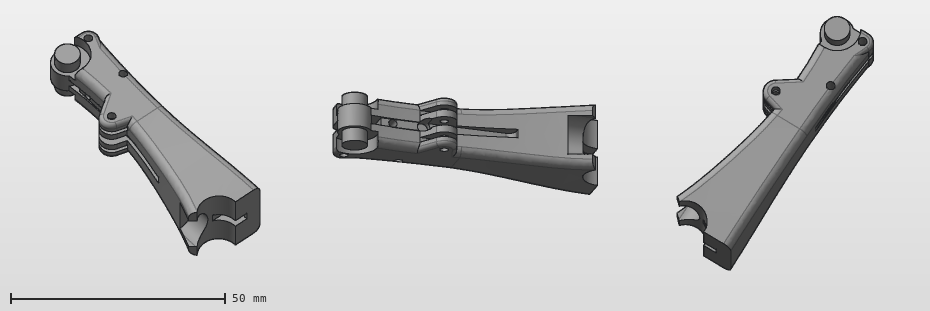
import cadquery as cq
import math


side_reach = 19.2

pin_radius = 3.0
barrel_radius = 4.0
barrel_half_height = 2.8
recess_radius = 5.5

half_height = 6.1
end_half_height = 8.2
body_start = 0.65
underside_points = [(5.45, -2.0), (12.8, -1.6), (24.7, -2.2), (41.0, -5.1)]
underside_start_y = -2.55
underside_end_y = -11.3
topside_points = [(28.8, 7.9), (12.8, 8.25)]
topside_start_y = 9.2
topside_end_y = 8.5
tip = (55.35, -9.3)
taper_start = 25.7
taper_middle = 40.95
taper_middle_half_height = 7.05
overall_length = 64.0
body_end = overall_length - barrel_radius
body_fillet = 2.0
flare_slope = 0.02

lug_center = (-0.45, 6.7)
lug_radius = 2.55
lug_slope_end = (5.75, 7.05)
lug_fillet = 0.9
lobe_center = (20.75, -3.85)
lobe_radius = 3.0
lobe_fillet = 1.1
lobe_root_left = (15.55, -1.65)
lobe_root_right = (24.45, -1.85)
lobe_top = 0.5
lobe_gap_inner = 2.8
lobe_gap_outer = 4.0
cross_hole_center = (12.8, 6.3)

hole_diameter = 2.0
hole_radius = hole_diameter / 2
slot_half_width = 1.055
slot_floor = -1.35
slot_end = 38.65
slot_end_radius = 1.9
clearance_end = 6.0
clearance_slope_start = 4.1
web_root_x = 7.9
web_underside = 5.95
web_start = 2.9
web_corner = 2.0
cord_hole_positions = (4.9, 8.95)
drill_x = 16.5
drill_diameter = 3.0
drill_radius = drill_diameter / 2
drill_floor = 0.3

bore_center = (body_end, -4.0)
bore_radius = 5.05
pocket_start = 50.0
pocket_center_y = -8.05
pocket_radius = 4.85
tongue_slot_start = 55.35
tongue_slot_floor = 4.5


def slab(sketch, low, high):
    """Extrude a closed XY sketch from Z = low to Z = high."""
    return sketch.extrude(high - low).translate((0, 0, low))


def disc(center, radius, half):
    """Upright cylinder, symmetric about mid height."""
    return slab(cq.Workplane("XY").center(*center).circle(radius), -half, half)


def block(x_min, x_max, y_min, y_max, z_min, z_max):
    """Box between two limits on each axis."""
    sketch = cq.Workplane("XY").moveTo(x_min, y_min).lineTo(x_max, y_min)
    sketch = sketch.lineTo(x_max, y_max).lineTo(x_min, y_max).close()
    return slab(sketch, z_min, z_max)


def tangent_point(center, radius, point, side):
    """Touch point on a circle of the line from an outer point (side is +1 or -1)."""
    dx = point[0] - center[0]
    dy = point[1] - center[1]
    angle = math.atan2(dy, dx) + side * math.acos(radius / math.hypot(dx, dy))
    return (center[0] + radius * math.cos(angle), center[1] + radius * math.sin(angle))


def extend_line(start, through, y):
    """Point at height y on the line through two points."""
    ratio = (y - start[1]) / (through[1] - start[1])
    return (start[0] + ratio * (through[0] - start[0]), y)


def make_body():
    """Curved plan outline crossed with a flaring side profile, its long edges rounded."""
    outline = (
        cq.Workplane("XY")
        .moveTo(body_start, underside_start_y)
        .spline(underside_points + [tip, (body_end, underside_end_y)], includeCurrent=True)
        .lineTo(body_end, topside_end_y)
        .spline(topside_points + [(body_start, topside_start_y)], includeCurrent=True)
        .close()
    )
    plan = slab(outline, -side_reach, side_reach)
    profile = (
        cq.Workplane("XZ")
        .moveTo(body_start, -half_height)
        .lineTo(body_start, half_height)
        .lineTo(taper_start, half_height)
        .spline([(taper_middle, taper_middle_half_height), (body_end, end_half_height)],
                tangents=[(1, flare_slope), (1, 0)], includeCurrent=True)
        .lineTo(body_end, -end_half_height)
        .spline([(taper_middle, -taper_middle_half_height), (taper_start, -half_height)],
                tangents=[(-1, 0), (-1, flare_slope)], includeCurrent=True)
        .close()
        .extrude(2 * side_reach)
        .translate((0, side_reach, 0))
    )
    body = plan.intersect(profile)
    return body.faces("<Y or >Y").edges("not |Z").fillet(body_fillet)


def make_lug():
    """Rounded corner that carries the cross hole beside the knuckle."""
    left = lug_center[0] - lug_radius
    diagonal = lug_radius * math.sqrt(0.5)
    outline = (
        cq.Workplane("XY")
        .moveTo(left, 0)
        .lineTo(left, lug_center[1])
        .threePointArc((lug_center[0] - diagonal, lug_center[1] + diagonal),
                       tangent_point(lug_center, lug_radius, lug_slope_end, 1))
        .lineTo(*lug_slope_end)
        .lineTo(lug_slope_end[0], 0)
        .close()
    )
    lug = slab(outline, -half_height, half_height)
    return lug.faces("<Z or >Z").edges("not (<Y or >X)").fillet(lug_fillet)


def make_lobe():
    """Rounded ear below the body, with its straight flanks carried on into the body."""
    left_touch = tangent_point(lobe_center, lobe_radius, lobe_root_left, 1)
    right_touch = tangent_point(lobe_center, lobe_radius, lobe_root_right, -1)
    outline = (
        cq.Workplane("XY")
        .moveTo(*extend_line(left_touch, lobe_root_left, lobe_top))
        .lineTo(*left_touch)
        .threePointArc((lobe_center[0], lobe_center[1] - lobe_radius), right_touch)
        .lineTo(*extend_line(right_touch, lobe_root_right, lobe_top))
        .close()
    )
    lobe = slab(outline, -half_height, half_height)
    return lobe.faces("<Z or >Z").edges("not >Y").fillet(lobe_fillet)


def cut_lobe_gaps(part):
    """Two thin gaps, leaving four plates together with the central slot."""
    lowest = lobe_center[1] - lobe_radius
    gap = block(lobe_root_left[0], lobe_root_right[0], lowest, lobe_root_left[1],
                lobe_gap_inner, lobe_gap_outer)
    return part.cut(gap).cut(gap.mirror("XY"))


def cut_cross_holes(part):
    """Upright through holes in the lug, the body and the lobe."""
    for center in (lug_center, cross_hole_center, lobe_center):
        part = part.cut(disc(center, hole_radius, side_reach))
    return part


def cut_cord_path(part):
    """Central slot with a rounded far end, the cord holes and a blind drilling."""
    slot = (
        cq.Workplane("XY")
        .moveTo(0, -side_reach)
        .lineTo(0, slot_floor)
        .lineTo(slot_end - slot_end_radius, slot_floor)
        .radiusArc((slot_end, slot_floor - slot_end_radius), slot_end_radius)
        .lineTo(slot_end, -side_reach)
        .close()
    )
    part = part.cut(slab(slot, -slot_half_width, slot_half_width))

    web_top = web_underside + web_corner
    clearance = (
        cq.Workplane("XY")
        .moveTo(-side_reach, -side_reach)
        .lineTo(clearance_end, -side_reach)
        .lineTo(clearance_end, clearance_slope_start)
        .lineTo(web_root_x, web_underside)
        .lineTo(web_start, web_underside)
        .radiusArc((web_start + web_corner, web_top), web_corner)
        .lineTo(taper_start, web_top)
        .lineTo(taper_start, side_reach)
        .lineTo(-side_reach, side_reach)
        .close()
    )
    part = part.cut(slab(clearance, -slot_half_width, slot_half_width))

    front = cq.Workplane("XZ", origin=(0, -side_reach, 0))
    for x in cord_hole_positions:
        part = part.cut(front.center(x, 0).circle(hole_radius).extrude(-2 * side_reach))
    drilling = front.center(drill_x, 0).circle(drill_radius).extrude(-(side_reach + drill_floor))
    return part.cut(drilling)


def cut_forked_end(part):
    """Bore for the next joint, bevelled tip, rounded pocket and tongue slot."""
    part = part.cut(disc(bore_center, bore_radius, side_reach))
    bevel = (
        cq.Workplane("XY")
        .moveTo(*bore_center)
        .lineTo(*extend_line(bore_center, tip, -side_reach))
        .lineTo(body_end, -side_reach)
        .close()
    )
    part = part.cut(slab(bevel, -side_reach, side_reach))
    pocket = (
        cq.Workplane("YZ", origin=(pocket_start, 0, 0))
        .moveTo(-side_reach, -pocket_radius)
        .lineTo(pocket_center_y, -pocket_radius)
        .threePointArc((pocket_center_y + pocket_radius, 0), (pocket_center_y, pocket_radius))
        .lineTo(-side_reach, pocket_radius)
        .close()
        .extrude(body_end - pocket_start)
    )
    tongue_slot = block(tongue_slot_start, body_end, bore_center[1], tongue_slot_floor,
                        -slot_half_width, slot_half_width)
    return part.cut(pocket).cut(tongue_slot)


def add_knuckle(part):
    """Stepped pin standing in a round recess on both faces."""
    recess = slab(cq.Workplane("XY").circle(recess_radius), barrel_half_height, half_height)
    part = part.cut(recess).cut(recess.mirror("XY"))
    barrel = disc((0, 0), barrel_radius, barrel_half_height)
    pin = disc((0, 0), pin_radius, half_height)
    return part.union(barrel).union(pin)


result = make_body().union(make_lug()).union(make_lobe())
result = cut_lobe_gaps(result)
result = cut_cross_holes(result)
result = cut_cord_path(result)
result = cut_forked_end(result)
result = add_knuckle(result)